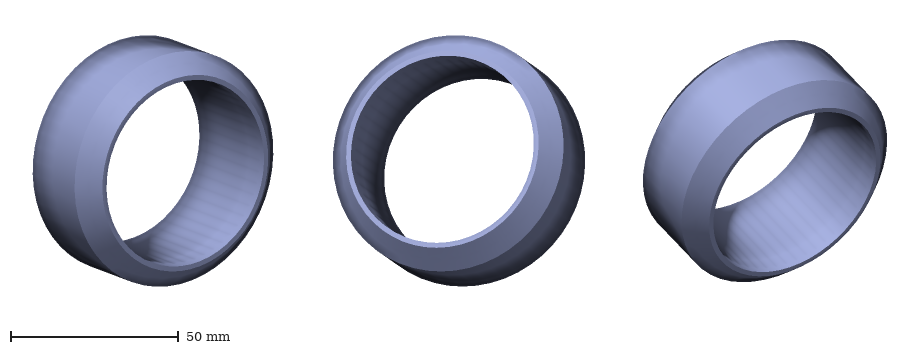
import cadquery as cq

outer_diameter = 72.0
bore_diameter = 57.0
width = 34.0
chamfer = 6.0

outer_radius = outer_diameter / 2
bore_radius = bore_diameter / 2
half_width = width / 2
rim_radius = outer_radius - chamfer
half_land = half_width - chamfer

section = (
    cq.Workplane("XZ")
    .moveTo(-half_width, bore_radius)
    .lineTo(-half_width, rim_radius)
    .lineTo(-half_land, outer_radius)
    .lineTo(half_land, outer_radius)
    .lineTo(half_width, rim_radius)
    .lineTo(half_width, bore_radius)
    .close()
)

result = section.revolve(360, (0, 0, 0), (1, 0, 0))